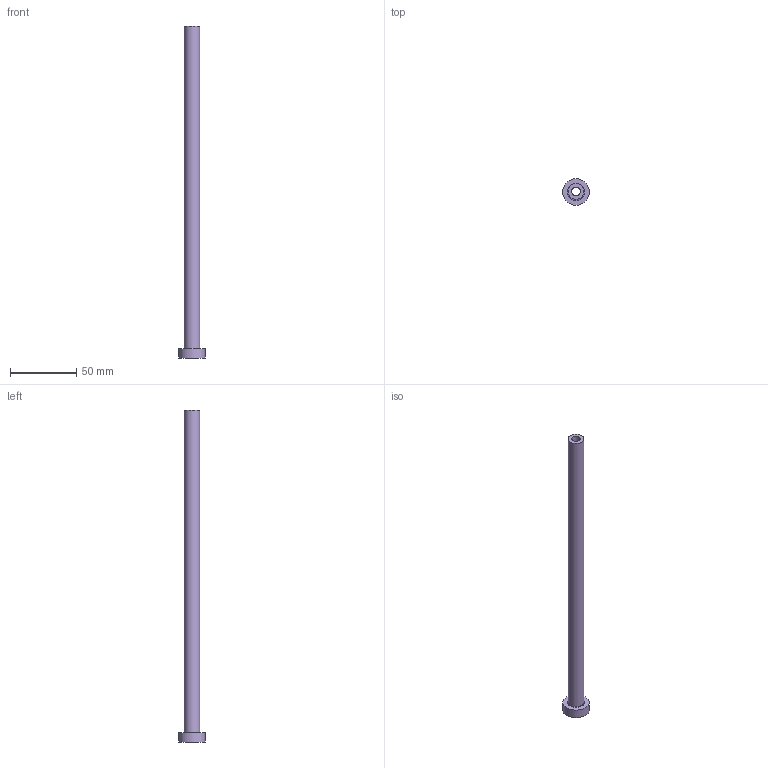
import cadquery as cq

total_length = 250.0
head_diameter = 20.0
head_height = 7.0
sleeve_diameter = 12.0
bore_diameter = 6.5
root_fillet_radius = 0.5

bottom_z = 0.0


def sleeve_half_profile():
    """Half section of the sleeve in the XZ plane, with a fillet where the tube meets the head."""
    bore_radius = bore_diameter / 2
    sleeve_radius = sleeve_diameter / 2
    head_radius = head_diameter / 2
    head_top_z = bottom_z + head_height
    sleeve_top_z = bottom_z + total_length
    return (
        cq.Workplane("XZ")
        .moveTo(bore_radius, bottom_z)
        .lineTo(head_radius, bottom_z)
        .lineTo(head_radius, head_top_z)
        .lineTo(sleeve_radius + root_fillet_radius, head_top_z)
        .radiusArc((sleeve_radius, head_top_z + root_fillet_radius), root_fillet_radius)
        .lineTo(sleeve_radius, sleeve_top_z)
        .lineTo(bore_radius, sleeve_top_z)
        .close()
    )


result = sleeve_half_profile().revolve(360, (0, 0, 0), (0, 1, 0))